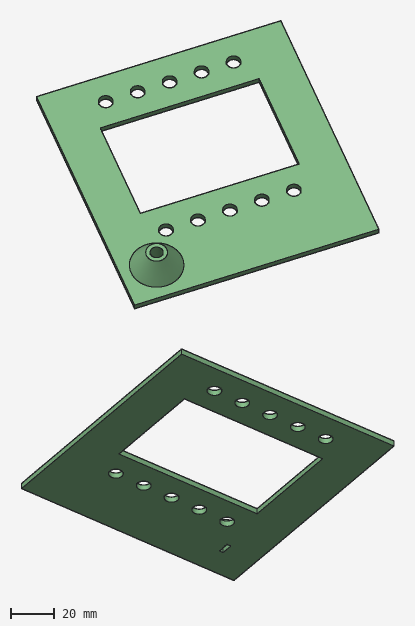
import cadquery as cq

panel_width = 126.0
panel_depth = 120.0
panel_thickness = 3.0

window_left = 27.0
window_width = 51.5
window_depth = 78.0
window_center_x = window_left + window_width / 2

button_diameter = 6.75
button_pitch = 15.7
buttons_per_column = 5
button_column_spacing = 77.5

knob_x = 108.5
knob_y = 17.5
knob_base_diameter = 25.0
knob_top_diameter = 10.0
knob_height = 10.0
knob_bore_diameter = 6.0

slot_length = knob_bore_diameter
slot_width = 2.0


def make_panel():
    """Flat plate with the window, the button holes and the slot under the knob."""
    panel = cq.Workplane("XY").box(
        panel_width, panel_depth, panel_thickness, centered=False
    )
    through = cq.Workplane("XY")
    window = (
        through.center(window_center_x, panel_depth / 2)
        .rect(window_width, window_depth)
        .extrude(panel_thickness)
    )
    button_holes = (
        through.center(window_center_x, panel_depth / 2)
        .rarray(button_column_spacing, button_pitch, 2, buttons_per_column)
        .circle(button_diameter / 2)
        .extrude(panel_thickness)
    )
    slot = (
        through.center(knob_x, knob_y)
        .rect(slot_length, slot_width)
        .extrude(panel_thickness)
    )
    return panel.cut(window).cut(button_holes).cut(slot)


def make_knob():
    """Truncated cone standing on the panel, bored through along its axis."""
    bore_radius = knob_bore_diameter / 2
    half_section = (
        cq.Workplane("XZ")
        .moveTo(bore_radius, 0)
        .lineTo(knob_base_diameter / 2, 0)
        .lineTo(knob_top_diameter / 2, knob_height)
        .lineTo(bore_radius, knob_height)
        .close()
    )
    knob = half_section.revolve(360, (0, 0, 0), (0, 1, 0))
    return knob.translate((knob_x, knob_y, panel_thickness))


panel = make_panel()
knob = make_knob()

result = cq.Compound.makeCompound([panel.val(), knob.val()])